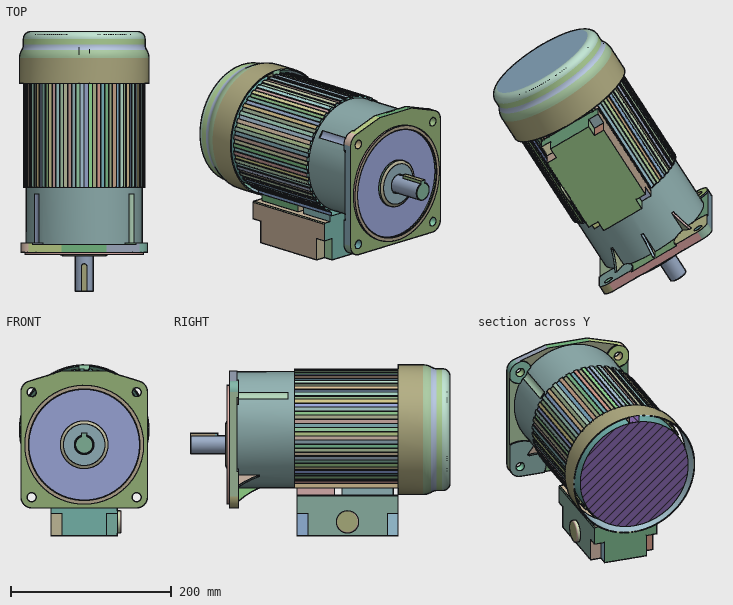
import cadquery as cq
import math


SHAFT_TIP_Y = -48.5
FRAME_FRONT_Y = 81.0
FRAME_REAR_Y = 210.5
COVER_REAR_Y = 275.2

HOUSING_RADIUS = 72.5
FLANGE_THICKNESS = 9.7
FLANGE_HALF_WIDTH = 79.0
FLANGE_CORNER_RADIUS = 14.2
FLANGE_TOP_Z = 73.2
FLANGE_TOP_HALF_WIDTH = 28.0
FLANGE_SHOULDER_Z = 57.3
SHAFT_Z = -18.8
FLANGE_BOTTOM_Z = SHAFT_Z - FLANGE_HALF_WIDTH
BOLT_OFFSET = 65.5
BOLT_HOLE_RADIUS = 5.5
UPPER_PAD_RADIUS = 15.2
LOWER_PAD_RADIUS = 35.0
PAD_HEIGHT = 2.0
BOLT_RELIEF_RADIUS = 9.5
BOLT_RELIEF_END_Y = 73.0
REGISTER_RADIUS = 74.0
REGISTER_BORE_RADIUS = 69.0
REGISTER_HEIGHT = 3.0
REGISTER_CHAMFER = 0.5
BOSS_RADIUS = 29.8
BOSS_FACE_RADIUS = 26.0
BOSS_HEIGHT = 5.0
BOSS_EDGE = 2.0
GUSSET_THICKNESS = 3.2
GUSSET_REACH = 90.7
GUSSET_REAR_Y = 38.0
GUSSET_SAG = 1.5

SHAFT_RADIUS = 11.3
SHAFT_CHAMFER = 0.5
SHAFT_SEAT_DEPTH = 32.5
SHAFT_CLEARANCE_RADIUS = 12.3
KEY_WIDTH = 6.8
KEY_LENGTH = 34.3
KEY_TOP = 14.5

FIN_COUNT = 45
FIN_TIP_RADIUS = 75.8
FIN_ROOT_RADIUS = 74.0
RAIL_HALF_WIDTH = 31.7
RAIL_BOTTOM_Z = -73.0
SPIGOT_RADIUS = 72.2

COVER_RADIUS = 81.0
COVER_WALL = 1.5
CAP_RADIUS = 76.0
CAP_FILLET = 9.7
CAP_BAND_Y = 258.5
CREASE_Y = 252.0
CREASE_RADIUS = 78.0
SHOULDER_Y = 241.5
SPACER_WIDTH = 13.0

BOX_HALF_WIDTH = 41.5
BOX_FRONT_Y = 84.2
BOX_TOP_Z = -81.3
BOX_BOTTOM_Z = -132.5
BOX_EDGE_RADIUS = 1.3
NOTCH_SIZE = 13.5
NOTCH_TOP_Z = -104.3
FOOT_SPANS = ((84.2, 131.0), (140.2, 204.3))
GLAND_RADIUS = 14.0
GLAND_LENGTH = 4.5
GLAND_FILLET = 1.3
GLAND_Z = -115.0


def cylinder(radius, y_start, y_end, x=0.0, z=0.0):
    """Cylinder along Y from y_start to y_end."""
    plane = cq.Workplane("XZ", origin=(x, y_start, z))
    return plane.circle(radius).extrude(y_start - y_end)


def block(x_span, y_span, z_span):
    """Box given by its two limits along each axis."""
    spans = (x_span, y_span, z_span)
    size = [high - low for low, high in spans]
    corner = [low for low, high in spans]
    return cq.Workplane("XY").box(*size, centered=False).translate(corner)


def point_at(radius, angle):
    """Point (x, z) at an angle in degrees from the top, turning toward -X."""
    turn = math.radians(angle)
    return -radius * math.sin(turn), radius * math.cos(turn)



def flange_outline(y_start, y_end):
    outline = [
        (-FLANGE_HALF_WIDTH, FLANGE_BOTTOM_Z),
        (FLANGE_HALF_WIDTH, FLANGE_BOTTOM_Z),
        (FLANGE_HALF_WIDTH, FLANGE_SHOULDER_Z),
        (FLANGE_TOP_HALF_WIDTH, FLANGE_TOP_Z),
        (-FLANGE_TOP_HALF_WIDTH, FLANGE_TOP_Z),
        (-FLANGE_HALF_WIDTH, FLANGE_SHOULDER_Z),
    ]
    plate = cq.Workplane("XZ", origin=(0, y_start, 0)).polyline(outline).close().extrude(y_start - y_end)
    return plate.edges("|Y and (<X or >X)").fillet(FLANGE_CORNER_RADIUS)


def bolt_pads():
    """Raised pads round the bolt holes on the back of the flange."""
    pad_rear = FLANGE_THICKNESS + PAD_HEIGHT
    pads = cq.Workplane("XY")
    for side in (-1, 1):
        for level, radius in ((1, UPPER_PAD_RADIUS), (-1, LOWER_PAD_RADIUS)):
            x, z = side * BOLT_OFFSET, SHAFT_Z + level * BOLT_OFFSET
            pads = pads.add(cylinder(radius, FLANGE_THICKNESS, pad_rear, x, z))
    return pads.combine().intersect(flange_outline(FLANGE_THICKNESS, pad_rear))


def gusset(angle):
    """Radial rib between the housing and the back of the flange."""
    root = HOUSING_RADIUS - 3.2
    middle = ((HOUSING_RADIUS + GUSSET_REACH) / 2 - GUSSET_SAG, (GUSSET_REAR_Y + FLANGE_THICKNESS) / 2)
    rib = (
        cq.Workplane("YZ", origin=(-GUSSET_THICKNESS / 2, 0, 0))
        .moveTo(FLANGE_THICKNESS, root)
        .lineTo(GUSSET_REAR_Y, root)
        .lineTo(GUSSET_REAR_Y, HOUSING_RADIUS)
        .threePointArc((middle[1], middle[0]), (FLANGE_THICKNESS, GUSSET_REACH))
        .close()
        .extrude(GUSSET_THICKNESS)
    )
    return rib.rotate((0, 0, 0), (0, 1, 0), -angle)


def register():
    """Locating ring on the mounting face, with a chamfered bore."""
    ring = cylinder(REGISTER_RADIUS, -REGISTER_HEIGHT, 0, z=SHAFT_Z)
    ring = ring.cut(cylinder(REGISTER_BORE_RADIUS, -REGISTER_HEIGHT, 0, z=SHAFT_Z))
    return ring.faces("<Y").edges("%CIRCLE").edges(cq.selectors.RadiusNthSelector(0)).chamfer(REGISTER_CHAMFER)


def shaft_boss():
    """Round boss on the mounting face, bevelled down to its flat end."""
    boss = cylinder(BOSS_RADIUS, -BOSS_HEIGHT, 0, z=SHAFT_Z)
    return boss.faces("<Y").edges().chamfer(BOSS_EDGE, BOSS_RADIUS - BOSS_FACE_RADIUS)


def gear_housing():
    body = cylinder(HOUSING_RADIUS, 0, FRAME_FRONT_Y).union(flange_outline(0, FLANGE_THICKNESS))
    body = body.union(bolt_pads())
    lower_bolt_angle = math.degrees(math.atan2(BOLT_OFFSET, SHAFT_Z - BOLT_OFFSET))
    for angle in (lower_bolt_angle, 180, -lower_bolt_angle):
        body = body.union(gusset(angle))
    body = body.union(register()).union(shaft_boss())
    for side in (-1, 1):
        for level in (-1, 1):
            x, z = side * BOLT_OFFSET, SHAFT_Z + level * BOLT_OFFSET
            body = body.cut(cylinder(BOLT_HOLE_RADIUS, 0, BOLT_RELIEF_END_Y, x, z))
            body = body.cut(cylinder(BOLT_RELIEF_RADIUS, FLANGE_THICKNESS + PAD_HEIGHT, BOLT_RELIEF_END_Y, x, z))
    body = body.cut(cylinder(SHAFT_CLEARANCE_RADIUS, -BOSS_HEIGHT, 0, z=SHAFT_Z))
    return body.cut(cylinder(SHAFT_RADIUS, 0, SHAFT_SEAT_DEPTH, z=SHAFT_Z))



def output_shaft():
    shaft = cylinder(SHAFT_RADIUS, SHAFT_TIP_Y, SHAFT_SEAT_DEPTH, z=SHAFT_Z)
    shaft = shaft.faces("<Y").chamfer(SHAFT_CHAMFER)
    half = KEY_WIDTH / 2
    key_end = SHAFT_TIP_Y + KEY_LENGTH
    key = (
        cq.Workplane("XY", origin=(0, 0, SHAFT_Z))
        .moveTo(-half, SHAFT_TIP_Y)
        .lineTo(half, SHAFT_TIP_Y)
        .lineTo(half, key_end - half)
        .threePointArc((0, key_end), (-half, key_end - half))
        .close()
        .extrude(KEY_TOP)
    )
    return shaft.union(key)



def finned_bar():
    """Bar whose outline alternates between fin tips and grooves of equal angle."""
    pitch = 360 / FIN_COUNT
    outline = cq.Workplane("XZ", origin=(0, FRAME_FRONT_Y, 0)).moveTo(*point_at(FIN_TIP_RADIUS, 0))
    for fin in range(FIN_COUNT):
        start = fin * pitch
        outline = (
            outline
            .threePointArc(point_at(FIN_TIP_RADIUS, start + pitch / 4), point_at(FIN_TIP_RADIUS, start + pitch / 2))
            .lineTo(*point_at(FIN_ROOT_RADIUS, start + pitch / 2))
            .threePointArc(point_at(FIN_ROOT_RADIUS, start + 3 * pitch / 4), point_at(FIN_ROOT_RADIUS, start + pitch))
        )
        if fin < FIN_COUNT - 1:
            outline = outline.lineTo(*point_at(FIN_TIP_RADIUS, start + pitch))
    return outline.close().extrude(FRAME_FRONT_Y - FRAME_REAR_Y)


def motor_frame():
    length = (FRAME_FRONT_Y, FRAME_REAR_Y)
    rail_width = (-RAIL_HALF_WIDTH, RAIL_HALF_WIDTH)
    frame = finned_bar()
    frame = frame.cut(block(rail_width, length, (-COVER_RADIUS, RAIL_BOTTOM_Z)))
    frame = frame.union(block(rail_width, length, (RAIL_BOTTOM_Z, 0)))
    spigot = cylinder(SPIGOT_RADIUS, FRAME_REAR_Y, COVER_REAR_Y - COVER_WALL)
    return frame.union(spigot.intersect(cover_form(COVER_WALL)))



def arc_middle(start, end, tangent_radius_at):
    """Middle of an arc that is parallel to the axis at one of its ends."""
    flat, other = (start, end) if tangent_radius_at == "start" else (end, start)
    run, rise = other[1] - flat[1], other[0] - flat[0]
    radius = (run ** 2 + rise ** 2) / (2 * rise)
    half_turn = math.asin(run / radius) / 2
    return flat[0] + radius * (1 - math.cos(half_turn)), flat[1] + radius * math.sin(half_turn)


def cover_form(inset):
    """Turned form of the cover, made smaller by an inset on its sides and rear."""
    rim = (COVER_RADIUS - inset, SHOULDER_Y)
    crease = (CREASE_RADIUS - inset, CREASE_Y)
    band = (CAP_RADIUS - inset, CAP_BAND_Y)
    rear = COVER_REAR_Y - inset
    fillet = CAP_FILLET - inset
    form = (
        cq.Workplane("XY")
        .moveTo(0, FRAME_REAR_Y)
        .lineTo(rim[0], FRAME_REAR_Y)
        .lineTo(*rim)
        .threePointArc(arc_middle(rim, crease, "start"), crease)
        .threePointArc(arc_middle(crease, band, "end"), band)
        .lineTo(band[0], rear - fillet)
        .radiusArc((band[0] - fillet, rear), -fillet)
        .lineTo(0, rear)
        .close()
        .revolve(360, (0, 0, 0), (0, 1, 0))
    )
    return form


def spacer():
    """Block under the top of the rim that bears on the spigot of the frame."""
    half = SPACER_WIDTH / 2
    bar = block((-half, half), (FRAME_REAR_Y, CAP_BAND_Y), (0, COVER_RADIUS))
    bar = bar.intersect(cover_form(COVER_WALL / 2))
    return bar.cut(cylinder(SPIGOT_RADIUS, FRAME_REAR_Y, COVER_REAR_Y))


def rear_cover():
    return cover_form(0).cut(cover_form(COVER_WALL)).union(spacer())



def terminal_box():
    width = (-BOX_HALF_WIDTH, BOX_HALF_WIDTH)
    length = (BOX_FRONT_Y, FRAME_REAR_Y)
    box = block(width, length, (BOX_BOTTOM_Z, BOX_TOP_Z))
    for x in (-BOX_HALF_WIDTH, BOX_HALF_WIDTH - NOTCH_SIZE):
        for y in (BOX_FRONT_Y, FRAME_REAR_Y - NOTCH_SIZE):
            notch = block((x, x + NOTCH_SIZE), (y, y + NOTCH_SIZE), (BOX_BOTTOM_Z, NOTCH_TOP_Z))
            box = box.cut(notch)
    box = box.edges("|Y and (<X or >X) and >Z").chamfer(BOX_EDGE_RADIUS)
    for foot in FOOT_SPANS:
        box = box.union(block((-RAIL_HALF_WIDTH, RAIL_HALF_WIDTH), foot, (BOX_TOP_Z, RAIL_BOTTOM_Z)))
    gland = (
        cq.Workplane("YZ", origin=(BOX_HALF_WIDTH, (BOX_FRONT_Y + FRAME_REAR_Y) / 2, GLAND_Z))
        .circle(GLAND_RADIUS)
        .extrude(GLAND_LENGTH)
        .faces(">X")
        .fillet(GLAND_FILLET)
    )
    return box.union(gland)


result = cq.Compound.makeCompound([
    gear_housing().val(),
    output_shaft().val(),
    motor_frame().val(),
    rear_cover().val(),
    terminal_box().val(),
])